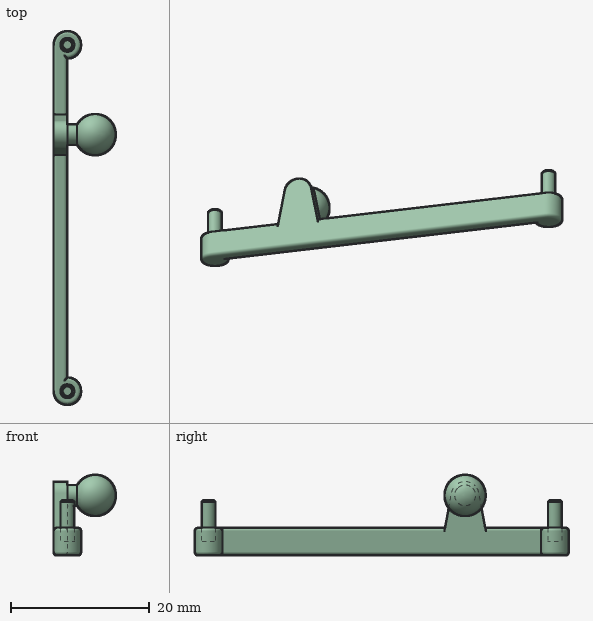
import cadquery as cq
import math

bar_width = 2.0
arm_height = 4.0
boss_radius = 2.0
boss_x = boss_radius
edge_fillet = 0.5

overall_length = 53.86
boss_spacing = overall_length - 2 * boss_radius
boss_positions = [(boss_x, -boss_spacing / 2), (boss_x, boss_spacing / 2)]

tab_top_radius = 2.0
tab_base_half_width = 3.0
tab_base_z = arm_height - edge_fillet

ball_radius = 3.0
ball_x = 6.0
ball_y = 12.0
ball_z = 8.65
neck_radius = 1.5

pin_radius = 1.0
pin_exposed_length = 4.0
pin_seat_depth = arm_height / 2
pin_base_z = arm_height - pin_seat_depth
pin_length = pin_seat_depth + pin_exposed_length
pin_tip_chamfer = 0.3


def make_bar():
    bar = cq.Workplane("XY").box(bar_width, boss_spacing, arm_height, centered=(False, True, False))
    bosses = cq.Workplane("XY").pushPoints(boss_positions).circle(boss_radius).extrude(arm_height)
    return bar.union(bosses).faces("<Z or >Z").edges().fillet(edge_fillet)


def make_tab():
    top_centre_height = ball_z - tab_base_z
    corner_distance = math.hypot(tab_base_half_width, top_centre_height)
    corner_angle = math.atan2(tab_base_half_width, top_centre_height)
    side_angle = corner_angle - math.asin(tab_top_radius / corner_distance)
    tangent_y = tab_top_radius * math.cos(side_angle)
    tangent_z = ball_z + tab_top_radius * math.sin(side_angle)
    return (
        cq.Workplane("YZ")
        .moveTo(ball_y - tab_base_half_width, tab_base_z)
        .lineTo(ball_y - tangent_y, tangent_z)
        .threePointArc((ball_y, ball_z + tab_top_radius), (ball_y + tangent_y, tangent_z))
        .lineTo(ball_y + tab_base_half_width, tab_base_z)
        .close()
        .extrude(bar_width)
    )


def make_ball_stud():
    neck = (
        cq.Workplane("YZ", origin=(bar_width, ball_y, ball_z))
        .circle(neck_radius)
        .extrude(ball_x - bar_width)
    )
    ball = cq.Workplane("XY", origin=(ball_x, ball_y, ball_z)).sphere(ball_radius)
    return neck.union(ball)


def make_arm():
    pin_holes = (
        cq.Workplane("XY", origin=(0, 0, pin_base_z))
        .pushPoints(boss_positions)
        .circle(pin_radius)
        .extrude(pin_seat_depth)
    )
    return make_bar().union(make_tab()).union(make_ball_stud()).cut(pin_holes)


def make_pin(x, y):
    return (
        cq.Workplane("XY", origin=(x, y, pin_base_z))
        .circle(pin_radius)
        .extrude(pin_length)
        .faces(">Z")
        .edges()
        .chamfer(pin_tip_chamfer)
    )


arm = make_arm()
pins = [make_pin(x, y) for x, y in boss_positions]

result = cq.Compound.makeCompound([arm.val(), *[pin.val() for pin in pins]])